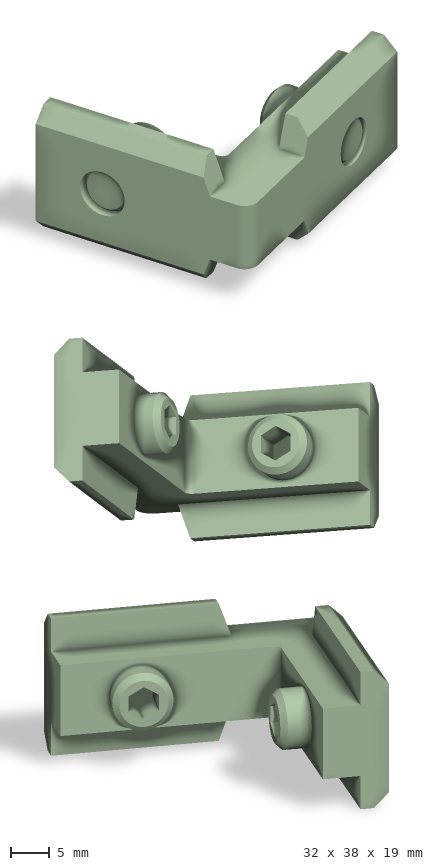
import cadquery as cq
import math

length_x = 32.0
length_y = 38.0
height = 19.0
arm_thickness = 8.8
web_height = 9.8
outer_corner_radius = 2.0
inner_corner_radius = 1.0

flange_thickness = 3.8
flange_chamfer = 2.0
flange_end_angle = 20.0
flange_base_x = 26.0
flange_base_y = 24.0
mid_z = height / 2

screw_diameter = 8.0
screw_length = 12.0
screw_head_chamfer = 0.8
screw_tip_diameter = 5.5
screw_projection = 4.0
socket_across_flats = 4.0
socket_depth = 5.5
tapped_hole_diameter = 6.65
hole_overrun = 5.0

straight_screw_x = 9.95
tilt_angle = 5.0
tilted_screw_projection = 3.7
tilted_screw_y = 27.8

tilt = math.radians(tilt_angle)
straight_screw_frame = cq.Plane(
    origin=(straight_screw_x, arm_thickness + screw_projection, mid_z),
    xDir=(1, 0, 0),
    normal=(0, -1, 0),
)
tilted_screw_frame = cq.Plane(
    origin=(length_x - arm_thickness - tilted_screw_projection, tilted_screw_y, mid_z),
    xDir=(math.sin(tilt), math.cos(tilt), 0),
    normal=(math.cos(tilt), -math.sin(tilt), 0),
)
screw_frames = [straight_screw_frame, tilted_screw_frame]


def make_web():
    """L-shaped web with a rounded inner and outer corner."""
    web = (
        cq.Workplane("XY", origin=(0, 0, mid_z - web_height / 2))
        .polyline([
            (0, 0),
            (length_x, 0),
            (length_x, length_y),
            (length_x - arm_thickness, length_y),
            (length_x - arm_thickness, arm_thickness),
            (0, arm_thickness),
        ])
        .close()
        .extrude(web_height)
    )
    outer_corner = cq.selectors.NearestToPointSelector((length_x, 0, mid_z))
    inner_corner = cq.selectors.NearestToPointSelector((length_x - arm_thickness, arm_thickness, mid_z))
    web = web.edges("|Z").edges(outer_corner).fillet(outer_corner_radius)
    return web.edges("|Z").edges(inner_corner).fillet(inner_corner_radius)


def make_flange(base_length):
    """Flange plate along +X with its outer face on y = 0 and its sloped ends at the +X side."""
    overhang = (height - web_height) / 2
    top_length = base_length - overhang * math.tan(math.radians(flange_end_angle))
    web_bottom = mid_z - web_height / 2
    web_top = mid_z + web_height / 2
    plate = (
        cq.Workplane("XZ")
        .polyline([
            (0, 0),
            (top_length, 0),
            (base_length, web_bottom),
            (base_length, web_top),
            (top_length, height),
            (0, height),
        ])
        .close()
        .extrude(-flange_thickness)
    )
    section = (
        cq.Workplane("XY")
        .box(base_length, flange_thickness, height, centered=False)
        .edges("|X")
        .edges("<Y")
        .chamfer(flange_chamfer)
    )
    return plate.intersect(section)


def make_screw_blank(frame):
    """Set screw without its socket: a cylinder with a chamfered head and a conical tip."""
    radius = screw_diameter / 2
    tip_chamfer = (screw_diameter - screw_tip_diameter) / 2
    return (
        cq.Workplane(frame)
        .circle(radius)
        .extrude(screw_length)
        .faces(cq.selectors.DirectionMinMaxSelector(frame.zDir, False))
        .chamfer(screw_head_chamfer)
        .faces(cq.selectors.DirectionMinMaxSelector(frame.zDir, True))
        .chamfer(tip_chamfer)
    )


def make_screw(frame):
    """Set screw with a hexagon socket, two of its corners pointing along Z."""
    corner_diameter = socket_across_flats / math.cos(math.pi / 6)
    socket = (
        cq.Workplane(frame)
        .transformed(rotate=(0, 0, 90))
        .polygon(6, corner_diameter)
        .extrude(socket_depth)
    )
    return make_screw_blank(frame).cut(socket)


def make_screw_seat(frame):
    """Tapped hole through the arm, opened out to the shape of the screw where the screw sits."""
    hole = cq.Workplane(frame).circle(tapped_hole_diameter / 2).extrude(screw_length + hole_overrun)
    return hole.union(make_screw_blank(frame))


flange_x = make_flange(flange_base_x)

flange_y = (
    make_flange(flange_base_y)
    .rotate((0, 0, 0), (0, 0, 1), -90)
    .mirror("YZ")
    .translate((length_x, length_y, 0))
)

bracket = make_web().union(flange_x).union(flange_y)
for frame in screw_frames:
    bracket = bracket.cut(make_screw_seat(frame))

screws = [make_screw(frame) for frame in screw_frames]

result = cq.Compound.makeCompound([bracket.val(), *[screw.val() for screw in screws]])